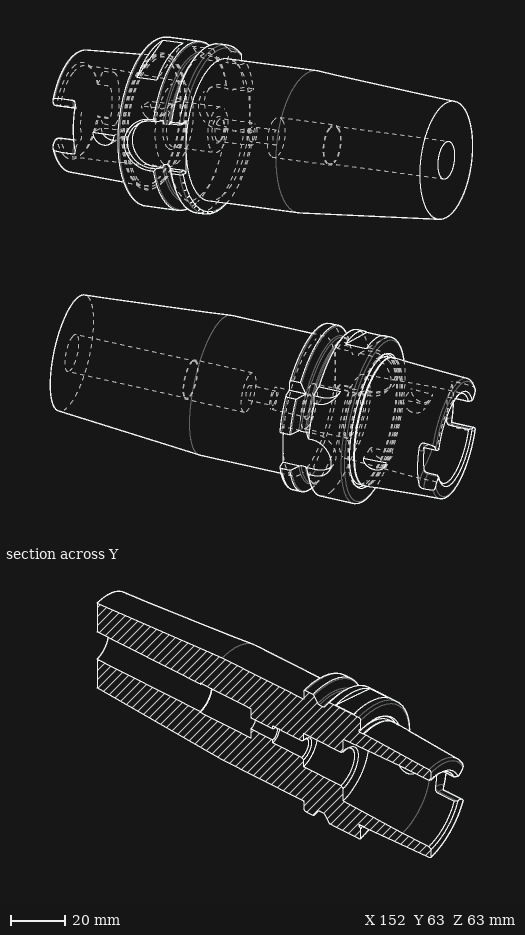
import cadquery as cq
import math


shank_length = 32.0
holder_length = 120.0
shank_end = -shank_length

clearance = 1.0

shank_end_diameter = 45.5
shank_taper = 0.1
neck_diameter = 48.24
neck_length = 1.5
neck_bevel_length = 0.4
shank_end_round = 1.0
face_groove_diameter = 51.0
face_groove_depth = 0.8
face_groove_bevel = 0.4

flange_diameter = 63.0
flange_radius = flange_diameter / 2
flange_width = 26.0
flange_edge_round = 1.0

groove_center = 18.0
groove_root_diameter = 55.2
groove_half_opening = 3.55
groove_flank_angle = 60.0
groove_root_round = 0.8
groove_edge_bevel = 0.4

body_diameter = 53.0
body_end = 63.0
nose_diameter = 44.0

slot_floor = body_diameter / 2
slot_center = 12.9
front_slot_width = 18.0
back_slot_width = 16.0
slot_chamfer = 0.9

notch_corner_y = 19.8
notch_corner_z = 20.0
notch_end_radius = 8.0
notch_center = 13.0

flat_start = 3.4
flat_length = 8.2
flat_tilt = 22.0
flat_depth = 2.25

key_slot_width = 12.54
key_slot_lip_radius = 4.0
key_slot_shelf = 20.5
key_slot_floor_round = 1.5
front_key_slot_depth = 9.9
back_key_slot_depth = 6.0

access_hole_x = -9.3
access_hole_diameter = 8.8

bore_diameter = 34.0
bore_entry_diameter = 36.0
bore_entry_length = 1.0
bore_straight_end = -19.0
bore_floor_x = 8.0
bore_floor_diameter = 31.75

tube_seat_diameter = 19.0
tube_thread_diameter = 17.0
tube_thread_end = 26.0
passage_entry_diameter = 10.0
passage_diameter = 8.4
passage_end = 40.0
throat_diameter = 5.5

tool_bore_diameter = 14.0
tool_bore_depth = 47.0
stop_thread_diameter = 14.92
stop_thread_end = 50.0


def revolve_about_x(points):
    """Revolve an (x, radius) outline about the X axis, with the seam at -Z, clear of the side slots."""
    solid = cq.Workplane("XY").polyline(points).close().revolve(360, (0, 0, 0), (1, 0, 0))
    return solid.rotate((0, 0, 0), (1, 0, 0), -90)


def make_flange_blank():
    blank = revolve_about_x([
        (0, 0),
        (0, flange_radius),
        (flange_width, flange_radius),
        (flange_width, 0),
    ])
    return blank.edges().fillet(flange_edge_round)


def make_shank():
    taper_length = shank_length - neck_length
    taper_end_radius = (shank_end_diameter + shank_taper * taper_length) / 2
    shank = revolve_about_x([
        (shank_end, 0),
        (shank_end, shank_end_diameter / 2),
        (-neck_length, taper_end_radius),
        (-neck_length + neck_bevel_length, neck_diameter / 2),
        (face_groove_depth, neck_diameter / 2),
        (face_groove_depth, 0),
    ])
    return shank.faces("<X").edges().fillet(shank_end_round)


def drive_slot(width):
    """Round-ended slot running out through the nose side of the flange, cut along +Y."""
    radius = width / 2
    run_out = flange_width - slot_center + clearance
    end = cq.Workplane("XZ").center(slot_center, 0).circle(radius).extrude(-flange_diameter)
    run = (
        cq.Workplane("XZ").center(slot_center + run_out / 2, 0)
        .rect(run_out, width)
        .extrude(-flange_diameter)
    )
    return end.union(run).translate((0, slot_floor, 0))


def orientation_notch():
    size = flange_diameter
    center_z = notch_corner_z + notch_end_radius
    run = cq.Workplane("XY").box(size, size, size, centered=False)
    run = run.translate((notch_center, notch_corner_y, notch_corner_z))
    end = cq.Workplane("XZ").center(notch_center, center_z).circle(notch_end_radius).extrude(-size)
    return run.union(end.translate((0, notch_corner_y, 0)))


def identification_flat():
    size = flange_diameter
    cutter = cq.Workplane("XY").box(flat_length, size, size, centered=(False, True, False))
    cutter = cutter.translate((flat_start, 0, flange_radius - flat_depth))
    return cutter.rotate((0, 0, 0), (1, 0, 0), flat_tilt)


def gripper_groove():
    root_radius = groove_root_diameter / 2
    run_per_rise = 1 / math.tan(math.radians(groove_flank_angle))
    half_root = groove_half_opening - (flange_radius - root_radius) * run_per_rise
    bevel_radius = flange_radius - groove_edge_bevel
    bevel_half = groove_half_opening - groove_edge_bevel * run_per_rise
    mouth_half = bevel_half + groove_edge_bevel
    ring = revolve_about_x([
        (groove_center - half_root, root_radius),
        (groove_center - bevel_half, bevel_radius),
        (groove_center - mouth_half - clearance, flange_radius + clearance),
        (groove_center + mouth_half + clearance, flange_radius + clearance),
        (groove_center + bevel_half, bevel_radius),
        (groove_center + half_root, root_radius),
    ])
    root_edges = cq.selectors.RadiusNthSelector(0)
    return ring.edges(root_edges).fillet(groove_root_round)


def make_flange():
    flange = make_flange_blank()
    front_slot = drive_slot(front_slot_width).rotate((0, 0, 0), (1, 0, 0), 180)
    flange = flange.cut(front_slot)
    half = front_slot_width / 2 + clearance
    mouth_edges = cq.selectors.BoxSelector(
        (0, -flange_radius - clearance, -half),
        (flange_width - flange_edge_round, -slot_floor - clearance, half),
    )
    flange = flange.edges(mouth_edges).chamfer(slot_chamfer)
    flange = flange.cut(drive_slot(back_slot_width))
    flange = flange.cut(orientation_notch())
    flange = flange.cut(identification_flat())
    return flange.cut(gripper_groove())


def make_body():
    return revolve_about_x([
        (flange_width / 2, 0),
        (flange_width / 2, body_diameter / 2),
        (body_end, body_diameter / 2),
        (holder_length, nose_diameter / 2),
        (holder_length, 0),
    ])


def face_groove():
    outer = face_groove_diameter / 2
    inner = neck_diameter / 2
    return revolve_about_x([
        (0, inner),
        (0, outer),
        (face_groove_depth, outer - face_groove_bevel),
        (face_groove_depth, inner),
    ])


def clamping_bore():
    seat_chamfer = (tube_seat_diameter - tube_thread_diameter) / 2
    passage_chamfer = (passage_entry_diameter - passage_diameter) / 2
    tool_bore_end = holder_length - tool_bore_depth
    step_points = [
        (shank_end, bore_entry_diameter),
        (shank_end + bore_entry_length, bore_diameter),
        (bore_straight_end, bore_diameter),
        (bore_floor_x, bore_floor_diameter),
        (bore_floor_x, tube_seat_diameter),
        (bore_floor_x + seat_chamfer, tube_thread_diameter),
        (tube_thread_end, tube_thread_diameter),
        (tube_thread_end, passage_entry_diameter),
        (tube_thread_end + passage_chamfer, passage_diameter),
        (passage_end, passage_diameter),
        (passage_end, throat_diameter),
        (stop_thread_end, throat_diameter),
        (stop_thread_end, stop_thread_diameter),
        (tool_bore_end, stop_thread_diameter),
        (tool_bore_end, tool_bore_diameter),
        (holder_length, tool_bore_diameter),
    ]
    outline = [(x, diameter / 2) for x, diameter in step_points]
    return revolve_about_x([(shank_end, 0)] + outline + [(holder_length, 0)])


def key_slot(depth):
    """Slot on the +Y side of the shank end: its walls flare outwards in a quarter round."""
    half = key_slot_width / 2
    lip_start = key_slot_shelf - key_slot_lip_radius
    lip_half = half + key_slot_lip_radius
    diagonal = key_slot_lip_radius * math.sqrt(0.5)
    lip_mid = (lip_start + diagonal, lip_half - diagonal)
    outer_y = flange_radius
    profile = (
        cq.Workplane("YZ").workplane(offset=shank_end)
        .moveTo(0, -half)
        .lineTo(lip_start, -half)
        .threePointArc((lip_mid[0], -lip_mid[1]), (key_slot_shelf, -lip_half))
        .lineTo(outer_y, -lip_half)
        .lineTo(outer_y, lip_half)
        .lineTo(key_slot_shelf, lip_half)
        .threePointArc(lip_mid, (lip_start, half))
        .lineTo(0, half)
        .close()
    )
    return profile.extrude(depth).faces(">X").edges("not <Y").edges("not >Y").fillet(key_slot_floor_round)


def access_opening():
    """Half-round prism along Y with its flat side on the axis plane and its round side below."""
    radius = access_hole_diameter / 2
    return (
        cq.Workplane("XZ", origin=(0, flange_radius, 0))
        .moveTo(access_hole_x - radius, 0)
        .threePointArc((access_hole_x, -radius), (access_hole_x + radius, 0))
        .close()
        .extrude(flange_diameter)
    )


result = make_shank().union(make_flange().cut(face_groove())).union(make_body())
result = result.cut(clamping_bore())
result = result.cut(key_slot(back_key_slot_depth))
result = result.cut(key_slot(front_key_slot_depth).rotate((0, 0, 0), (1, 0, 0), 180))
result = result.cut(access_opening())